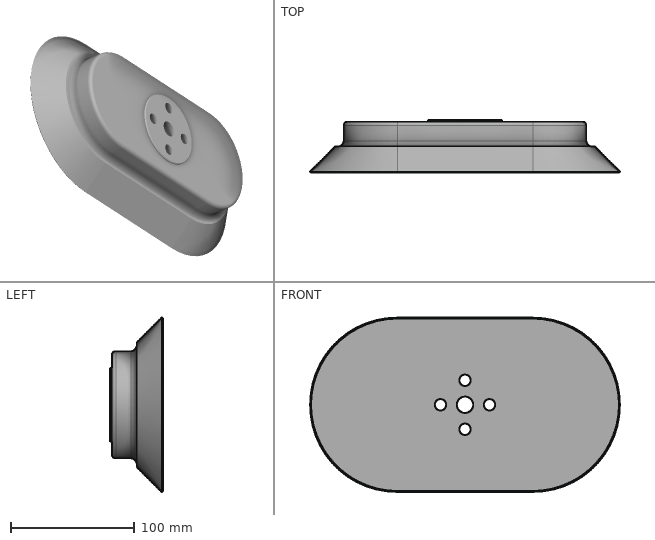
import cadquery as cq
import math

length = 252.0
height = 142.0
end_spacing = length - height
rim_radius = height / 2

rim_bevel = 1.0
flare_top = 21.5
flare_top_radius = rim_radius - (flare_top - rim_bevel)

wall_radius = 43.5
body_top = 41.5
root_fillet = 4.8
edge_tolerance = 0.3
top_fillet = 3.0

pad_top = 43.0
pad_diameter = 60.5
pad_chamfer = 0.8

center_hole_diameter = 13.0
bolt_hole_diameter = 9.0
bolt_circle_radius = 20.0
bolt_count = 4


def stadium_slab(end_radius, start_y, depth, taper=0):
    """Stadium extruded along +Y; a positive taper narrows it toward the back."""
    plane = cq.Plane(origin=(0, start_y, 0), xDir=(1, 0, 0), normal=(0, 1, 0))
    slot_length = end_spacing + 2 * end_radius
    return cq.Workplane(plane).slot2D(slot_length, 2 * end_radius).extrude(depth, taper=taper)


def cylinders(points, diameter):
    """Full-thickness cylinders from the front face along +Y, at (x, -z) points."""
    plane = cq.Plane(origin=(0, 0, 0), xDir=(1, 0, 0), normal=(0, 1, 0))
    return cq.Workplane(plane).pushPoints(points).circle(diameter / 2).extrude(pad_top)


bevel = stadium_slab(rim_radius - rim_bevel, 0, rim_bevel, taper=-45)
flare = stadium_slab(rim_radius, rim_bevel, flare_top - rim_bevel, taper=45)

body = stadium_slab(wall_radius, 0, body_top).faces(">Y").edges().fillet(top_fillet)

result = bevel.union(flare).union(body)
corner_reach_z = (wall_radius + flare_top_radius) / 2
corner_reach_x = end_spacing / 2 + corner_reach_z
root_edges = cq.selectors.BoxSelector(
    (-corner_reach_x, flare_top - edge_tolerance, -corner_reach_z),
    (corner_reach_x, flare_top + edge_tolerance, corner_reach_z),
    boundingbox=True,
)
result = result.edges(root_edges).fillet(root_fillet)

pad = cylinders([(0, 0)], pad_diameter).faces(">Y").edges().chamfer(pad_chamfer)
result = result.union(pad)

bolt_angles = [2 * math.pi * i / bolt_count for i in range(bolt_count)]
bolt_points = [(bolt_circle_radius * math.cos(a), bolt_circle_radius * math.sin(a)) for a in bolt_angles]
result = result.cut(cylinders([(0, 0)], center_hole_diameter))
result = result.cut(cylinders(bolt_points, bolt_hole_diameter))